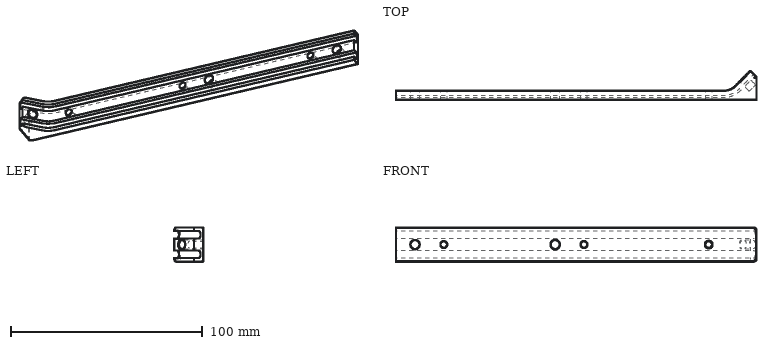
import cadquery as cq
import math

length = 188.0
width = 18.0
bar_thickness = 5.0
head_height = 15.25
mid_z = width / 2

ramp_angle = math.radians(45)
bend_radius = 8.4
bend_start_x = 171.0
bend_end_x = bend_start_x + bend_radius * math.sin(ramp_angle)
bend_end_y = bar_thickness + bend_radius * (1 - math.cos(ramp_angle))
bend_mid_x = bend_start_x + bend_radius * math.sin(ramp_angle / 2)
bend_mid_y = bar_thickness + bend_radius * (1 - math.cos(ramp_angle / 2))
tip_x = bend_end_x + (head_height - bend_end_y) / math.tan(ramp_angle)
end_face_low_y = head_height - (length - tip_x) / math.tan(ramp_angle)
into_ramp = cq.Vector(math.sin(ramp_angle), -math.cos(ramp_angle), 0)

end_corner_radius = 2.0
front_edge_chamfer = 0.4

channel_width = 4.0
channel_depth = 3.6
channel_floor_radius = 2.35
channel_offset_z = 5.1
channel_floor_rise = channel_floor_radius - math.sqrt(channel_floor_radius**2 - (channel_width / 2) ** 2)
channel_wall_depth = channel_depth - channel_floor_rise
channel_clearance = 1.0
channel_overrun = 5.0

large_hole_diameter = 4.7
large_hole_x = [10.0, 83.0]
small_hole_diameter = 3.4
small_hole_x = [25.0, 98.0]
chamfered_hole_x = 163.0
hole_chamfer = 0.3
chamfer_taper = 45.0

ramp_hole_diameter = 4.7
ramp_hole_depth = 7.0
ramp_hole_mouth_diameter = 5.3
ramp_hole_y = 11.3
ramp_hole_x = bend_end_x + (ramp_hole_y - bend_end_y) / math.tan(ramp_angle)


def make_body():
    """Bar with its hooked head, rounded at the end and chamfered along the front face."""
    body = (
        cq.Workplane("XY")
        .moveTo(0, 0)
        .lineTo(length, 0)
        .lineTo(length, end_face_low_y)
        .lineTo(tip_x, head_height)
        .lineTo(bend_end_x, bend_end_y)
        .threePointArc((bend_mid_x, bend_mid_y), (bend_start_x, bar_thickness))
        .lineTo(0, bar_thickness)
        .close()
        .extrude(width)
    )
    end_face_edges = cq.selectors.ParallelDirSelector(into_ramp)
    far_end_edges = cq.StringSyntaxSelector("|Y and >X")
    body = body.edges(end_face_edges + far_end_edges).fillet(end_corner_radius)
    return body.faces("<Y").edges("not(<X)").chamfer(front_edge_chamfer)


def make_channel(centre_z):
    """Cutter for one channel, following the back face, the bend and the ramp."""
    path = (
        cq.Workplane("XY")
        .workplane(offset=centre_z)
        .moveTo(-channel_overrun, bar_thickness)
        .lineTo(bend_start_x, bar_thickness)
        .threePointArc((bend_mid_x, bend_mid_y), (bend_end_x, bend_end_y))
        .lineTo(
            tip_x + channel_overrun * math.cos(ramp_angle),
            head_height + channel_overrun * math.sin(ramp_angle),
        )
    )
    half_width = channel_width / 2
    return (
        cq.Workplane("YZ", origin=(-channel_overrun, bar_thickness, centre_z))
        .moveTo(channel_clearance, -half_width)
        .lineTo(-channel_wall_depth, -half_width)
        .threePointArc((-channel_depth, 0), (-channel_wall_depth, half_width))
        .lineTo(channel_clearance, half_width)
        .close()
        .sweep(path)
    )


def make_bar_hole(x, diameter):
    """Cutter for a plain hole through the bar along Y."""
    return cq.Workplane("XZ", origin=(x, 0, mid_z)).circle(diameter / 2).extrude(-bar_thickness)


def make_front_chamfer(x, diameter):
    """Cutter for the chamfer at the front mouth of a bar hole."""
    mouth_radius = diameter / 2 + hole_chamfer
    return (
        cq.Workplane("XZ", origin=(x, 0, mid_z))
        .circle(mouth_radius)
        .extrude(-2 * hole_chamfer, taper=chamfer_taper)
    )


def make_ramp_hole():
    """Cutter for the blind hole square to the ramp, with its chamfered mouth."""
    centre = cq.Vector(ramp_hole_x, ramp_hole_y, mid_z)
    bore = cq.Solid.makeCylinder(ramp_hole_diameter / 2, ramp_hole_depth, centre, into_ramp)
    mouth_radius = ramp_hole_mouth_diameter / 2
    mouth = cq.Solid.makeCone(mouth_radius, 0, mouth_radius, centre, into_ramp)
    return cq.Workplane(bore.fuse(mouth))


result = make_body()
for side in (-1, 1):
    result = result.cut(make_channel(mid_z + side * channel_offset_z))
for hole_x in large_hole_x:
    result = result.cut(make_bar_hole(hole_x, large_hole_diameter))
for hole_x in small_hole_x + [chamfered_hole_x]:
    result = result.cut(make_bar_hole(hole_x, small_hole_diameter))
result = result.cut(make_front_chamfer(chamfered_hole_x, small_hole_diameter))
result = result.cut(make_ramp_hole())